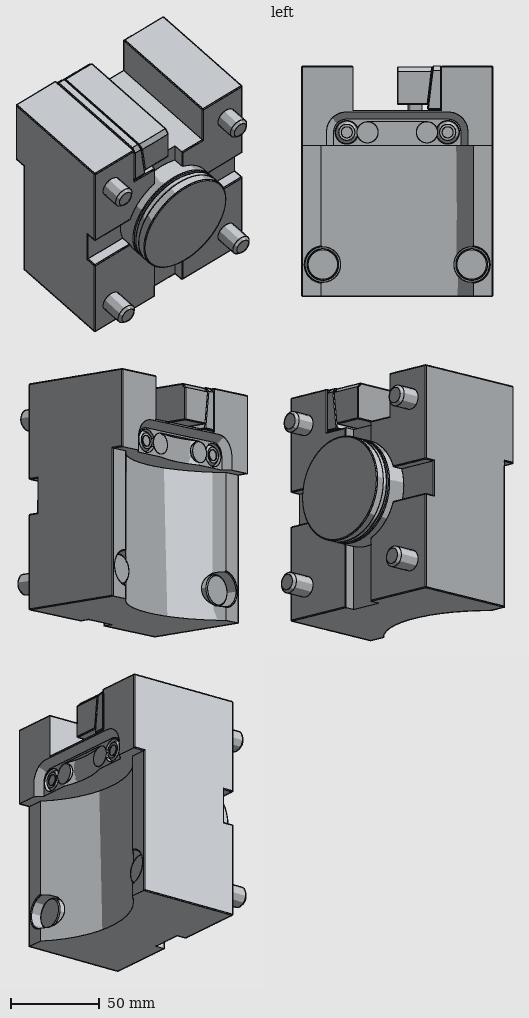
import cadquery as cq
import math


height = 130.0
width = 108.0
block_depth = 70.2
step_depth = 7.0
step_height = 85.0
edge_break = 0.5

slot_width = 49.9
slot_floor = 104.9

keyway_width = 20.0
keyway_depth = 6.5
center_height = height / 2

bore_axis_x = -35.0
bore_radius = 60.0

recess_depth = 4.0
recess_half_width = 39.9
recess_top = 104.0
recess_corner = 11.2

relief_radius = 50.0
relief_half_chord = 16.2
relief_top = 98.8
relief_axis_x = recess_depth - math.sqrt(relief_radius**2 - relief_half_chord**2)

fitting_height = 92.5
plug_radius = 6.0
plug_rise = 0.1
plug_y = 16.8
nozzle_y = 28.5
ball_radius = 6.4
ball_seat_radius = 6.6
ball_flat_radius = 4.5
ball_center_x = recess_depth + math.sqrt(ball_radius**2 - ball_flat_radius**2)
orifice_radius = 3.1
orifice_depth = 0.4

bolt_y = 42.0
bolt_height = 18.0
upper_pin_height = height - bolt_height
shank_radius = 6.0
shank_chamfer = 1.5
rear_end = 85.0
upper_pin_end = 82.8
upper_pin_embed = 6.5
counterbore_radius = 10.0
head_radius = 9.0
head_face = 12.7
head_length = 12.0
head_chamfer = 0.6

spigot_radius = 30.0
spigot_chamfer = 0.5
groove_start = 75.4
groove_end = 79.4
groove_depth = 2.2
ring_radius = 1.5

wedge_angle = 7.0
wedge_top_width = 5.0
wedge_bottom = 105.5
jaw_top = 129.5
jaw_bottom = 108.3
end_chamfer = 2.5
stem_radius = 4.0
stem_y = -10.0


def rod(start, end, radius, y, z):
    """Cylinder along X between two X positions."""
    return cq.Workplane("YZ", origin=(start, y, z)).circle(radius).extrude(end - start)


def box(x_range, y_range, z_range):
    """Axis-aligned box from its three coordinate ranges."""
    spans = [r[1] - r[0] for r in (x_range, y_range, z_range)]
    corner = (x_range[0], y_range[0], z_range[0])
    return cq.Workplane("XY").box(*spans, centered=False).translate(corner)


def make_block():
    """Stepped block with its tool slot, keyways and broken edges."""
    half = width / 2
    profile = [
        (step_depth, 0),
        (block_depth, 0),
        (block_depth, height),
        (0, height),
        (0, step_height),
        (step_depth, step_height),
    ]
    block = cq.Workplane("XZ", origin=(0, half, 0)).polyline(profile).close().extrude(width)
    slot_half = slot_width / 2
    block = block.cut(box((0, block_depth), (-slot_half, slot_half), (slot_floor, height)))
    keyway_x = (block_depth - keyway_depth, block_depth)
    key_half = keyway_width / 2
    key_z = (center_height - key_half, center_height + key_half)
    block = block.cut(box(keyway_x, (-half, half), key_z))
    block = block.cut(box(keyway_x, (-key_half, key_half), (0, height)))
    return block.faces(">X or <Y or >Y or >Z").edges().chamfer(edge_break)


def bore_and_relief():
    """Vertical bore below the step and the shallower relief above it."""
    bore = cq.Workplane("XY").center(bore_axis_x, 0).circle(bore_radius).extrude(step_height)
    relief = cq.Workplane("XY").center(relief_axis_x, 0).circle(relief_radius).extrude(relief_top)
    return bore.union(relief)


def recess_outline(x, inset):
    """Wire of the recess at one depth, drawn inside its mouth by the given inset."""
    half = recess_half_width - inset
    top = recess_top - inset
    radius = recess_corner - inset
    diagonal = radius * (1 - math.sqrt(0.5))
    return (
        cq.Workplane("YZ", origin=(x, 0, 0))
        .moveTo(-half, step_height)
        .lineTo(half, step_height)
        .lineTo(half, top - radius)
        .threePointArc((half - diagonal, top - diagonal), (half - radius, top))
        .lineTo(radius - half, top)
        .threePointArc((diagonal - half, top - diagonal), (-half, top - radius))
        .close()
        .val()
    )


def recess():
    """Recess whose walls slope inward at 45 degrees down to its floor."""
    mouth = recess_outline(0, 0)
    floor = recess_outline(recess_depth, recess_depth)
    return cq.Workplane("XY").add(cq.Solid.makeLoft([mouth, floor], True))


def nozzle_gap(y):
    """Space around a ball nozzle whose flat lies level with the recess floor, plus its orifice."""
    seat = rod(0, ball_center_x, ball_seat_radius, y, fitting_height)
    ball = cq.Workplane("XY").sphere(ball_radius).translate((ball_center_x, y, fitting_height))
    behind_flat = rod(recess_depth, ball_center_x + ball_radius, ball_radius, y, fitting_height)
    flat_ball = ball.intersect(behind_flat)
    orifice = rod(0, recess_depth + orifice_depth, orifice_radius, y, fitting_height)
    return seat.cut(flat_ball).union(orifice)


def counterbore(y):
    """Bolt counterbore with a broken mouth edge at the step face."""
    hole = rod(0, head_face + head_length, counterbore_radius, y, bolt_height)
    mouth = cq.Solid.makeCone(
        counterbore_radius + edge_break,
        counterbore_radius,
        edge_break,
        pnt=cq.Vector(step_depth, y, bolt_height),
        dir=cq.Vector(1, 0, 0),
    )
    return hole.union(cq.Workplane("XY").add(mouth))


def bolt(y):
    """Bolt head in its counterbore and the shank end behind the rear face."""
    head_end = head_face + head_length
    head = rod(head_face, head_end, head_radius, y, bolt_height).faces("<X").chamfer(head_chamfer)
    return head.union(shank(head_end, rear_end, y, bolt_height))


def shank(start, end, y, z):
    """Pin with a chamfered free end."""
    return rod(start, end, shank_radius, y, z).faces(">X").chamfer(shank_chamfer)


def spigot():
    """Rear spigot with a groove and the sealing ring in it."""
    start = block_depth - keyway_depth
    floor_radius = spigot_radius - groove_depth
    rim = spigot_radius - spigot_chamfer
    profile = [
        (start, 0),
        (start, spigot_radius),
        (groove_start - spigot_chamfer, spigot_radius),
        (groove_start, rim),
        (groove_start, floor_radius),
        (groove_end, floor_radius),
        (groove_end, rim),
        (groove_end + spigot_chamfer, spigot_radius),
        (rear_end - spigot_chamfer, spigot_radius),
        (rear_end, rim),
        (rear_end, 0),
    ]
    axis = ((0, 0, 0), (1, 0, 0))
    plane = cq.Workplane("XY", origin=(0, 0, center_height))
    core = plane.polyline(profile).close().revolve(360, *axis)
    ring_x = groove_end - ring_radius
    ring_y = spigot_radius - ring_radius
    ring = plane.moveTo(ring_x, ring_y).circle(ring_radius).revolve(360, *axis)
    return core.union(ring)


def make_housing():
    """Housing with its spigot, bolts, pins, plugs and nozzles as one solid."""
    housing = make_block().cut(bore_and_relief()).cut(recess()).union(spigot())
    for side in (-1, 1):
        y = side * bolt_y
        housing = housing.cut(counterbore(y)).union(bolt(y))
        housing = housing.union(shank(block_depth - upper_pin_embed, upper_pin_end, y, upper_pin_height))
        housing = housing.cut(nozzle_gap(side * nozzle_y))
        plug = rod(recess_depth - plug_rise, ball_center_x, plug_radius, side * plug_y, fitting_height)
        housing = housing.union(plug)
    return housing


def wedge_face_y(z):
    """Y position of the sloped contact plane between jaw and wedge."""
    return wedge_top_width - slot_width / 2 + (height - z) * math.tan(math.radians(wedge_angle))


def clamp_bar(outline):
    """Bar along the slot with broken edges and a larger chamfer at both top ends."""
    bar = cq.Workplane("YZ").polyline(outline).close().extrude(block_depth)
    bar = bar.faces(">Z").edges("<X or >X").chamfer(end_chamfer)
    return bar.faces("<Y or >Y or <Z").edges().chamfer(edge_break)


def make_jaw():
    """Clamping jaw on its round stem, which stands on the slot floor."""
    outline = [
        (0, jaw_bottom),
        (0, jaw_top),
        (wedge_face_y(jaw_top), jaw_top),
        (wedge_face_y(jaw_bottom), jaw_bottom),
    ]
    bar = clamp_bar(outline)
    stem = (
        cq.Workplane("XY", origin=(block_depth / 2, stem_y, slot_floor))
        .circle(stem_radius)
        .extrude(jaw_bottom - slot_floor)
    )
    return bar.union(stem)


def make_wedge():
    """Wedge between the jaw and the slot wall."""
    wall = -slot_width / 2
    outline = [
        (wall, wedge_bottom),
        (wall, height),
        (wedge_face_y(height), height),
        (wedge_face_y(wedge_bottom), wedge_bottom),
    ]
    return clamp_bar(outline)


housing = make_housing()
jaw = make_jaw()
wedge = make_wedge()

result = cq.Compound.makeCompound([body.solids().val() for body in (housing, jaw, wedge)])